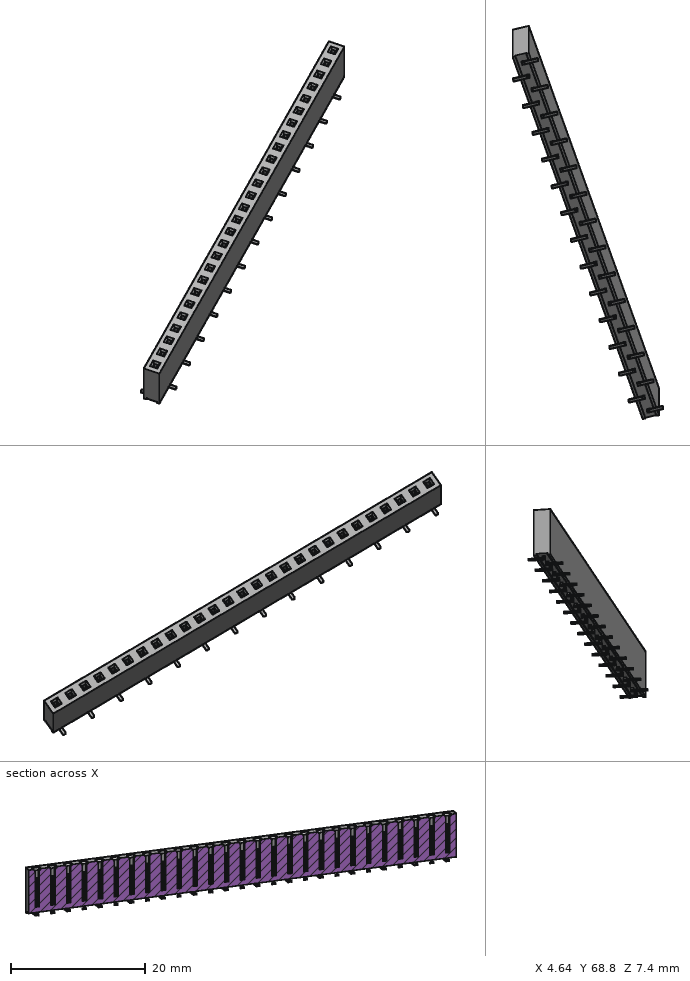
import cadquery as cq

pin_count = 27
pitch = 2.54
end_allowance = 0.2

overall_height = 7.4
standoff = 0.3
body_width = pitch
body_length = pin_count * pitch + end_allowance
body_height = overall_height - standoff

groove_width = 1.7
groove_depth = 0.2

mouth_size = 1.2
socket_size = 0.6
lead_in_depth = 0.3
socket_depth = 6.0

overall_width = 4.64
tail_width = 0.52
tail_thickness = 0.18
tail_tip_radius = 0.14
blade_width = 0.4
blade_thickness = 0.2
blade_top_depth = 1.5


def pin_position(index):
    """Y position of a contact, counted from the -Y end."""
    return (index - (pin_count - 1) / 2) * pitch


def make_housing():
    """Plain block with a full-length groove between two side feet."""
    body = cq.Workplane("XY", origin=(0, 0, standoff)).rect(body_width, body_length).extrude(body_height)
    groove = cq.Workplane("XY", origin=(0, 0, standoff)).rect(groove_width, body_length).extrude(groove_depth)
    return body.cut(groove)


def make_opening():
    """Lead-in and socket, centred on the Z axis."""
    lead_in = (
        cq.Workplane("XY", origin=(0, 0, overall_height))
        .rect(mouth_size, mouth_size)
        .workplane(offset=-lead_in_depth)
        .rect(socket_size, socket_size)
        .loft(combine=True)
    )
    socket = (
        cq.Workplane("XY", origin=(0, 0, overall_height - socket_depth))
        .rect(socket_size, socket_size)
        .extrude(socket_depth - lead_in_depth)
    )
    return lead_in.union(socket)


def make_contact():
    """Contact centred on the Z axis, with its tail pointing to -X."""
    tail_length = (overall_width + blade_width) / 2
    tail_centre = blade_width / 2 - tail_length / 2
    tail = (
        cq.Workplane("XY")
        .center(tail_centre, 0)
        .rect(tail_length, tail_width)
        .extrude(tail_thickness)
        .faces("<X")
        .edges("|Z")
        .fillet(tail_tip_radius)
    )
    blade = cq.Workplane("XY").rect(blade_width, blade_thickness).extrude(overall_height - blade_top_depth)
    return tail.union(blade)


opening = make_opening()
left_contact = make_contact()
right_contact = left_contact.mirror("YZ")

openings = []
contacts = []
for index in range(pin_count):
    shift = (0, pin_position(index), 0)
    contact = left_contact if index % 2 == 0 else right_contact
    openings.append(opening.translate(shift).val())
    contacts.append(contact.translate(shift).val())

housing = make_housing().cut(cq.Compound.makeCompound(openings))
result = housing.union(cq.Compound.makeCompound(contacts)).solids()